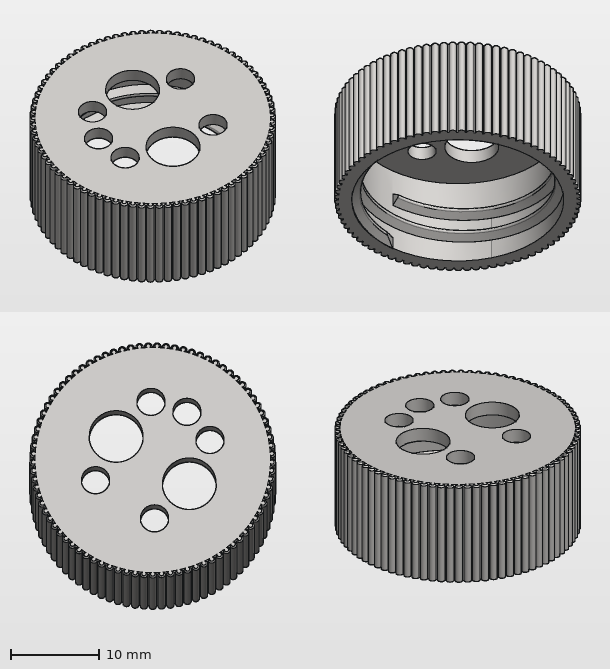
import cadquery as cq
cap_height = 12.3
bore_diameter = 24.0
bore_radius = bore_diameter / 2
wall_thickness = 1.5
shell_radius = bore_radius + wall_thickness
plate_thickness = 1.65
top_chamfer = 0.18

bead_count = 85
first_bead_angle = 1.25
bead_radius = 0.425
bead_circle_radius = shell_radius

large_hole_diameter = 6.1
large_hole_offset = 5.0
small_hole_diameter = 3.2
corner_hole_x = 4.03
corner_hole_y = 5.6
front_hole_y = -6.9

thread_pitch = 3.0
thread_turns = 2.0
thread_start_angle = 56.3
thread_start_z = -0.08
root_width = 1.55
flank_width = 0.44
flank_depth = 0.9
crest_depth = 1.02
root_overlap = 0.3
start_face_y = 9.98
start_trim_height = 2.4


def make_shell():
    outer = cq.Workplane("XY").circle(shell_radius).extrude(cap_height)
    outer = outer.faces(">Z").chamfer(top_chamfer)
    bore = cq.Workplane("XY").circle(bore_radius).extrude(cap_height - plate_thickness)
    return outer.cut(bore)


def make_thread():
    """Helical ridge seated on the bore, its start cut off flat parallel to the XZ plane."""
    middle_z = thread_start_z + root_width / 2
    sunk_half_width = root_width / 2 - root_overlap
    sunk_radius = bore_radius + root_overlap
    flank_radius = bore_radius - flank_depth
    crest_radius = bore_radius - crest_depth

    profile = (
        cq.Workplane("XZ")
        .moveTo(sunk_radius, middle_z - sunk_half_width)
        .lineTo(bore_radius, middle_z - root_width / 2)
        .lineTo(flank_radius, middle_z - flank_width / 2)
        .threePointArc((crest_radius, middle_z), (flank_radius, middle_z + flank_width / 2))
        .lineTo(bore_radius, middle_z + root_width / 2)
        .lineTo(sunk_radius, middle_z + sunk_half_width)
        .close()
    )
    helix = cq.Wire.makeHelix(thread_pitch, thread_pitch * thread_turns, bore_radius)
    ridge = profile.sweep(cq.Workplane(obj=helix), isFrenet=True)
    ridge = ridge.rotate((0, 0, 0), (0, 0, 1), thread_start_angle)

    trim_top_z = thread_start_z + start_trim_height
    clearance_z = thread_start_z - root_width
    trim = (
        cq.Workplane("XY")
        .workplane(offset=clearance_z)
        .rect(bore_radius, start_face_y, centered=False)
        .extrude(trim_top_z - clearance_z)
    )
    bore_space = (
        cq.Workplane("XY")
        .workplane(offset=clearance_z)
        .circle(bore_radius)
        .extrude(cap_height - clearance_z)
    )
    return ridge.cut(trim).intersect(bore_space)


def make_beads():
    """Ring of upright beads, each turned so its cylinder seam lies inside the shell."""
    bead = cq.Workplane("XY").circle(bead_radius).extrude(cap_height).faces(">Z").chamfer(top_chamfer)
    seam_inward_bead = bead.rotate((0, 0, 0), (0, 0, 1), 180).val()
    return (
        cq.Workplane("XY")
        .polarArray(bead_circle_radius, first_bead_angle, 360, bead_count)
        .eachpoint(lambda location: seam_inward_bead.moved(location), combine=False)
    )


def make_plate_holes():
    large_centers = [(side * large_hole_offset, 0) for side in (-1, 1)]
    small_centers = [(sx * corner_hole_x, sy * corner_hole_y) for sx in (-1, 1) for sy in (-1, 1)]
    small_centers.append((0, front_hole_y))
    plate_bottom = cq.Workplane("XY").workplane(offset=cap_height - plate_thickness)
    large = plate_bottom.pushPoints(large_centers).circle(large_hole_diameter / 2).extrude(plate_thickness)
    small = plate_bottom.pushPoints(small_centers).circle(small_hole_diameter / 2).extrude(plate_thickness)
    return large.union(small)


shell = make_shell().cut(make_plate_holes())
result = shell.union(make_thread()).union(make_beads())